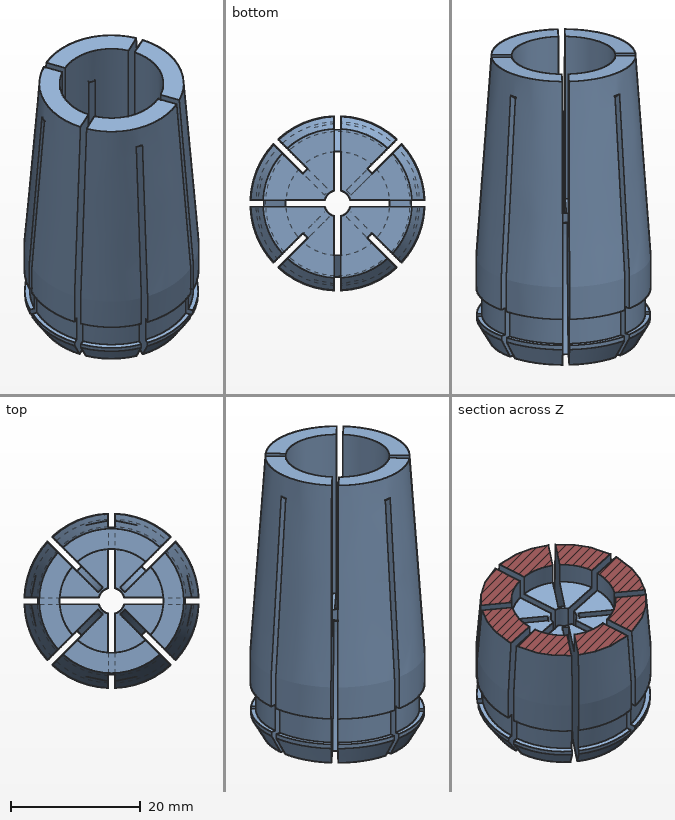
import cadquery as cq
import math

length = 46.85
body_radius = 13.5
nose_radius = 11.15
cone_base_z = 13.7
groove_radius = 12.65
groove_top_z = 8.35
rim_radius = 13.4
rim_top_z = 4.0
rim_base_z = 3.3
base_chamfer_angle = 30.0
base_radius = rim_radius - rim_base_z * math.tan(math.radians(base_chamfer_angle))

bore_radius = 8.0
bore_floor_z = 19.9
pilot_radius = 2.0

slot_count = 4
slot_pitch = 360 / slot_count
slot_width = 1.05
slot_reach = body_radius + 0.45
saw_radius = 37.45
top_slot_inner_radius = 2.4
top_slot_saw_z = 18.1
top_slot_saw_offset = top_slot_inner_radius + saw_radius
base_slot_saw_z = 12.97
base_slot_saw_offset = 33.4


def make_body():
    """Tapered, grooved body with a wide bore down to a floor and a narrow pilot hole through it."""
    outline = [
        (0, 0),
        (base_radius, 0),
        (rim_radius, rim_base_z),
        (rim_radius, rim_top_z),
        (groove_radius, rim_top_z),
        (groove_radius, groove_top_z),
        (body_radius, groove_top_z),
        (body_radius, cone_base_z),
        (nose_radius, length),
        (0, length),
    ]
    body = cq.Workplane("XZ").polyline(outline).close().revolve(360, (0, 0, 0), (0, 1, 0))
    pilot = cq.Workplane("XY").circle(pilot_radius).extrude(length)
    bore = cq.Workplane("XY").workplane(offset=bore_floor_z).circle(bore_radius).extrude(length - bore_floor_z)
    return body.cut(pilot).cut(bore)


def saw_leg(other_leg):
    """Second leg of a right triangle whose hypotenuse is the saw radius."""
    return math.sqrt(saw_radius**2 - other_leg**2)


def top_slot():
    """Slot along +X, open at both ends, with a root that curves outward towards the base."""

    def root_point(z):
        return (top_slot_saw_offset - saw_leg(top_slot_saw_z - z), z)

    profile = (
        cq.Workplane("XZ")
        .moveTo(*root_point(0))
        .threePointArc(root_point(top_slot_saw_z / 2), root_point(top_slot_saw_z))
        .lineTo(top_slot_inner_radius, length)
        .lineTo(slot_reach, length)
        .lineTo(slot_reach, 0)
        .close()
    )
    return profile.extrude(slot_width / 2, both=True)


def base_slot():
    """Slot along +X from the axis outward, closed at the top by a curved roof that rises outward."""

    def roof_point(x):
        return (x, base_slot_saw_z + saw_leg(base_slot_saw_offset - x))

    profile = (
        cq.Workplane("XZ")
        .lineTo(*roof_point(0))
        .threePointArc(roof_point(slot_reach / 2), roof_point(slot_reach))
        .lineTo(slot_reach, 0)
        .close()
    )
    return profile.extrude(slot_width / 2, both=True)


def turn(shape, angle):
    return shape.rotate((0, 0, 0), (0, 0, 1), angle)


result = make_body()
for i in range(slot_count):
    result = result.cut(turn(base_slot(), i * slot_pitch))
    result = result.cut(turn(top_slot(), (i + 0.5) * slot_pitch))